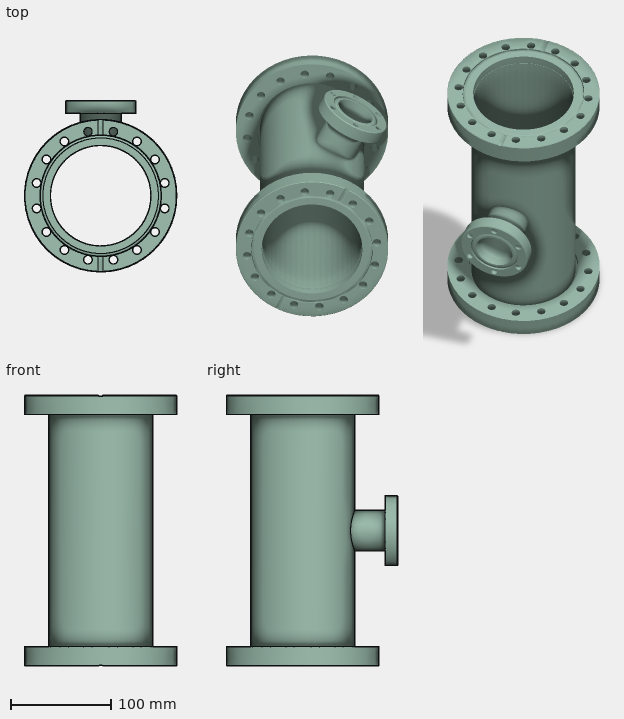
import cadquery as cq

total_height = 270.0
branch_reach = 95.0

main_tube_od = 104.0
main_tube_id = 100.0
main_flange = dict(
    outer_d=152.0,
    rim_chamfer=0.5,
    thickness=19.5,
    neck_bore_d=109.0,
    seat_bore_d=121.2,
    lip_thickness=4.9,
    insert_od=120.5,
    insert_bore_d=100.5,
    tube_od=main_tube_od,
    knife_d=115.3,
    face_recess=0.5,
    knife_drop=0.95,
    tube_end_depth=10.0,
    bolt_count=16,
    bolt_circle_d=130.1,
    bolt_hole_d=8.5,
    groove_width=4.9,
    groove_depth=1.0,
)

branch_tube_od = 41.0
branch_tube_id = 38.0
branch_flange = dict(
    outer_d=70.0,
    rim_chamfer=0.8,
    thickness=13.0,
    neck_bore_d=44.0,
    seat_bore_d=49.0,
    lip_thickness=4.0,
    insert_od=48.0,
    insert_bore_d=branch_tube_id,
    tube_od=branch_tube_od,
    knife_d=42.0,
    face_recess=0.5,
    knife_drop=1.0,
    tube_end_depth=5.5,
    bolt_count=6,
    bolt_circle_d=58.5,
    bolt_hole_d=6.5,
)


def make_ring(size):
    """Outer bolt ring, front face on Z = 0 and body below it."""
    thickness = size["thickness"]
    ring = (
        cq.Workplane("XY")
        .workplane(offset=-thickness)
        .circle(size["outer_d"] / 2)
        .extrude(thickness)
        .faces(">Z")
        .chamfer(size["rim_chamfer"])
    )
    neck_bore = cq.Workplane("XY").circle(size["neck_bore_d"] / 2).extrude(-thickness)
    seat = cq.Workplane("XY").circle(size["seat_bore_d"] / 2).extrude(size["lip_thickness"] - thickness)
    half_pitch = 180 / size["bolt_count"]
    bolt_holes = (
        cq.Workplane("XY")
        .polarArray(size["bolt_circle_d"] / 2, half_pitch, 360, size["bolt_count"])
        .circle(size["bolt_hole_d"] / 2)
        .extrude(-thickness)
    )
    return ring.cut(neck_bore).cut(seat).cut(bolt_holes)


def leak_check_groove(size):
    """Shallow round-bottomed groove along Y, cut into a front face on Z = 0."""
    half_width = size["groove_width"] / 2
    return (
        cq.Workplane("XZ")
        .moveTo(-half_width, 0)
        .threePointArc((0, -size["groove_depth"]), (half_width, 0))
        .close()
        .extrude(size["outer_d"] / 2, both=True)
    )


def make_insert(size):
    """Knife-edged insert inside the ring, with a step that takes the tube end."""
    bore_r = size["insert_bore_d"] / 2
    tube_r = size["tube_od"] / 2
    outer_r = size["insert_od"] / 2
    face_z = -size["face_recess"]
    back_z = size["lip_thickness"] - size["thickness"]
    return (
        cq.Workplane("XZ")
        .moveTo(bore_r, face_z)
        .lineTo(size["knife_d"] / 2, face_z)
        .lineTo(outer_r, face_z - size["knife_drop"])
        .lineTo(outer_r, back_z)
        .lineTo(tube_r, back_z)
        .lineTo(tube_r, -size["tube_end_depth"])
        .lineTo(bore_r, -size["tube_end_depth"])
        .close()
        .revolve(360, (0, 0, 0), (0, 1, 0))
    )


def make_tube():
    """Main tube and branch tube joined into one tee with open bores."""
    main_length = total_height - 2 * main_flange["tube_end_depth"]
    branch_length = branch_reach - branch_flange["tube_end_depth"]
    main_outer = cq.Workplane("XY").circle(main_tube_od / 2).extrude(main_length / 2, both=True)
    main_bore = cq.Workplane("XY").circle(main_tube_id / 2).extrude(main_length / 2, both=True)
    branch_outer = cq.Workplane("XZ").circle(branch_tube_od / 2).extrude(-branch_length)
    branch_bore = cq.Workplane("XZ").circle(branch_tube_id / 2).extrude(-branch_length)
    return main_outer.union(branch_outer).cut(main_bore).cut(branch_bore)


def to_top(body):
    """Move a flange body from Z = 0 to the upper end of the main tube."""
    return body.translate((0, 0, total_height / 2))


def to_bottom(body):
    """Turn a flange body over, onto the lower end of the main tube."""
    return to_top(body).rotate((0, 0, 0), (1, 0, 0), 180)


def to_branch(body):
    """Turn a flange body to face +Y at the end of the branch tube."""
    return body.rotate((0, 0, 0), (1, 0, 0), -90).translate((0, branch_reach, 0))


tube = make_tube()

main_ring = make_ring(main_flange).cut(leak_check_groove(main_flange))
main_insert = make_insert(main_flange)
main_bodies = []
for place in (to_top, to_bottom):
    main_bodies += [place(main_ring), place(main_insert)]

branch_ring = to_branch(make_ring(branch_flange))
branch_insert = to_branch(make_insert(branch_flange))

bodies = [tube, *main_bodies, branch_ring, branch_insert]
result = cq.Compound.makeCompound([body.val() for body in bodies])